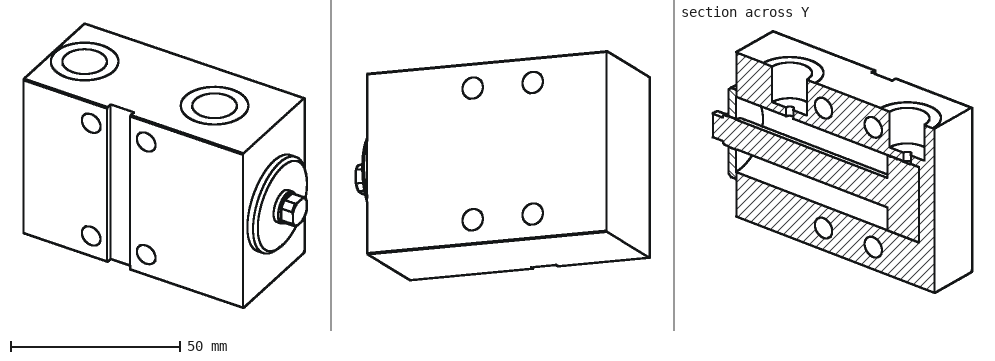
import cadquery as cq


OVERALL_LENGTH = 85.0

BLOCK_LENGTH = 76.0
BLOCK_WIDTH = 35.0
BLOCK_HEIGHT = 55.0
BLOCK_CHAMFER = 0.3
BORE_DIAMETER = 25.0
BORE_START = 6.0

PATTERN_X = 33.0
GROOVE_WIDTH = 8.0
GROOVE_DEPTH = 2.0
MOUNTING_HOLE_DIAMETER = 6.5
MOUNTING_SPACING_X = 19.0
MOUNTING_SPACING_Z = 40.0

PORT_SPACING = 45.0
PORT_DIAMETER = 13.2
PORT_DEPTH = 12.0
SPOT_FACE_DIAMETER = 20.0
SPOT_FACE_DEPTH = 0.1
PASSAGE_DIAMETER = 2.6

COVER_DIAMETER = 30.0
COVER_THICKNESS = 3.0
COVER_CHAMFER = 1.0
COVER_END = BLOCK_LENGTH + COVER_THICKNESS

PISTON_LENGTH = 12.0
PISTON_END = BORE_START + PISTON_LENGTH
ROD_DIAMETER = 10.0
ROD_PROTRUSION = 2.0
ROD_SHOULDER = COVER_END + ROD_PROTRUSION
ROD_CHAMFER = 0.5
TIP_DIAMETER = ROD_DIAMETER - 2 * ROD_CHAMFER
TIP_LENGTH = OVERALL_LENGTH - ROD_SHOULDER
TIP_ACROSS_FLATS = 8.0
TIP_CHAMFER = 0.25


def cylinder_along_x(diameter, start, end):
    return cq.Workplane("YZ", origin=(start, 0, 0)).circle(diameter / 2).extrude(end - start)


def cylinder_down(diameter, x, top, bottom):
    return cq.Workplane("XY", origin=(x, 0, bottom)).circle(diameter / 2).extrude(top - bottom)


def make_port(x):
    """Spot face, threaded bore and small passage that opens into the cylinder bore."""
    top = BLOCK_HEIGHT / 2
    spot_face = cylinder_down(SPOT_FACE_DIAMETER, x, top, top - SPOT_FACE_DEPTH)
    port = cylinder_down(PORT_DIAMETER, x, top, top - PORT_DEPTH)
    passage = cylinder_down(PASSAGE_DIAMETER, x, top, 0)
    return spot_face.union(port).union(passage)


def make_block():
    block = (
        cq.Workplane("XY")
        .box(BLOCK_LENGTH, BLOCK_WIDTH, BLOCK_HEIGHT)
        .translate((BLOCK_LENGTH / 2, 0, 0))
        .edges("|X")
        .chamfer(BLOCK_CHAMFER)
    )

    groove = (
        cq.Workplane("XY")
        .box(GROOVE_WIDTH, 2 * GROOVE_DEPTH, BLOCK_HEIGHT)
        .translate((PATTERN_X, -BLOCK_WIDTH / 2, 0))
    )

    mounting_holes = (
        cq.Workplane("XZ", origin=(PATTERN_X, 0, 0))
        .rarray(MOUNTING_SPACING_X, MOUNTING_SPACING_Z, 2, 2)
        .circle(MOUNTING_HOLE_DIAMETER / 2)
        .extrude(BLOCK_WIDTH, both=True)
    )

    block = block.cut(groove).cut(mounting_holes)
    block = block.cut(cylinder_along_x(BORE_DIAMETER, BORE_START, BLOCK_LENGTH))
    for side in (-1, 1):
        block = block.cut(make_port(PATTERN_X + side * PORT_SPACING / 2))
    return block


def make_cover():
    """Chamfered disc that closes the open end of the bore and guides the rod."""
    disc = cylinder_along_x(COVER_DIAMETER, BLOCK_LENGTH, COVER_END)
    disc = disc.faces(">X").edges().chamfer(COVER_CHAMFER)
    return disc.cut(cylinder_along_x(ROD_DIAMETER, BLOCK_LENGTH, COVER_END))


def make_piston_rod():
    """Piston and rod in one piece, ending in a square tip with rounded corners."""
    piston = cylinder_along_x(BORE_DIAMETER, BORE_START, PISTON_END)

    rod = cylinder_along_x(ROD_DIAMETER, PISTON_END, ROD_SHOULDER)
    rod = rod.faces(">X").edges().chamfer(ROD_CHAMFER)

    tip = cylinder_along_x(TIP_DIAMETER, ROD_SHOULDER, OVERALL_LENGTH)
    tip = tip.faces(">X").edges().chamfer(TIP_CHAMFER)
    square = (
        cq.Workplane("YZ", origin=(ROD_SHOULDER, 0, 0))
        .rect(TIP_ACROSS_FLATS, TIP_ACROSS_FLATS)
        .extrude(TIP_LENGTH)
    )
    return piston.union(rod).union(tip.intersect(square))


block = make_block()
cover = make_cover()
piston_rod = make_piston_rod()

result = cq.Compound.makeCompound([block.val(), cover.val(), piston_rod.val()])